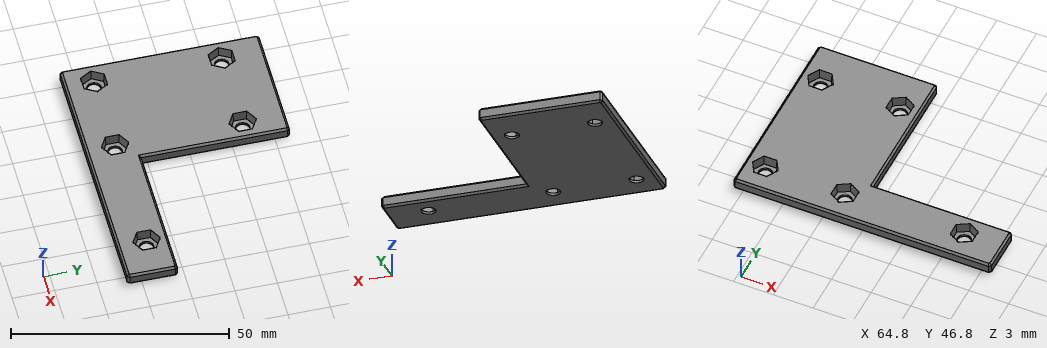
import cadquery as cq

length = 64.8
width = 46.8
thickness = 3.0
wide_leg = 29.8
narrow_leg = 11.8
edge_chamfer = 0.5

hole_diameter = 3.4
nut_mouth_corners = 6.4
nut_floor_corners = 6.0
nut_depth = 2.4
first_hole_x = 4.9
first_hole_y = 6.9
hole_spacing = 20.0
long_hole_spacing = 1.5 * hole_spacing

left_column = first_hole_x
middle_column = left_column + hole_spacing
right_column = middle_column + long_hole_spacing
lower_row = first_hole_y
upper_row = lower_row + long_hole_spacing

nuts_pointing_along_x = [(left_column, lower_row), (left_column, upper_row)]
nuts_pointing_along_y = [
    (middle_column, lower_row),
    (middle_column, upper_row),
    (right_column, lower_row),
]


def make_plate():
    """L-shaped plate with its outer corners and both face rims chamfered."""
    outline = [
        (0, 0),
        (length, 0),
        (length, narrow_leg),
        (wide_leg, narrow_leg),
        (wide_leg, width),
        (0, width),
    ]
    plate = cq.Workplane("XY").polyline(outline).close().extrude(thickness)
    inner_corner = cq.selectors.NearestToPointSelector((wide_leg, narrow_leg, thickness / 2))
    outer_corners = cq.selectors.SubtractSelector(cq.selectors.StringSyntaxSelector("|Z"), inner_corner)
    plate = plate.edges(outer_corners).chamfer(edge_chamfer)
    return plate.faces("<Z or >Z").edges().chamfer(edge_chamfer)


def make_screw_holes(centres):
    return cq.Workplane("XY").pushPoints(centres).circle(hole_diameter / 2).extrude(thickness)


def cut_nut_pocket(plate, centre, turn):
    """Cut a drafted hexagonal pocket, turned by an angle in degrees about Z."""
    pocket = (
        cq.Workplane("XY")
        .workplane(offset=thickness - nut_depth)
        .polygon(6, nut_floor_corners)
        .workplane(offset=nut_depth)
        .polygon(6, nut_mouth_corners)
        .loft(ruled=True)
        .rotate((0, 0, 0), (0, 0, 1), turn)
    )
    return plate.cut(pocket.translate((*centre, 0)))


result = make_plate().cut(make_screw_holes(nuts_pointing_along_x + nuts_pointing_along_y))
for nut_centre in nuts_pointing_along_x:
    result = cut_nut_pocket(result, nut_centre, 0)
for nut_centre in nuts_pointing_along_y:
    result = cut_nut_pocket(result, nut_centre, 90)